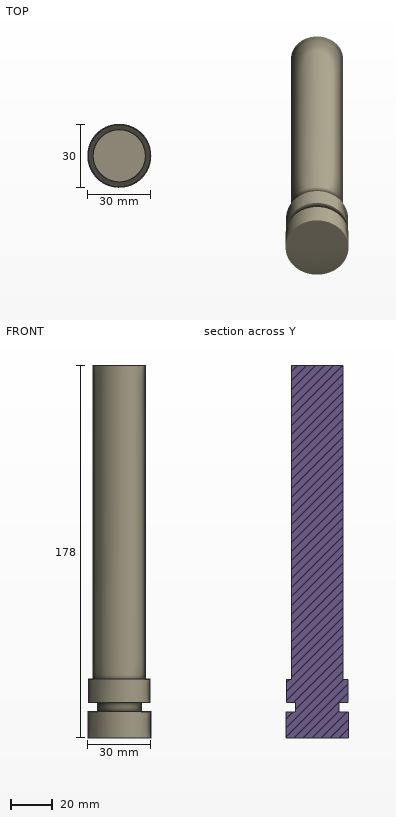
import cadquery as cq

total_length = 178.0
base_diameter = 30.0
base_height = 12.6
neck_diameter = 21.0
neck_height = 4.3
collar_diameter = 29.5
collar_height = 11.2
shaft_diameter = 25.0
shaft_length = total_length - base_height - neck_height - collar_height


def add_cylinder(body, diameter, height):
    """Stack a coaxial cylinder on the top face of the body."""
    return body.faces(">Z").workplane().circle(diameter / 2).extrude(height)


result = cq.Workplane("XY").circle(base_diameter / 2).extrude(base_height)
result = add_cylinder(result, neck_diameter, neck_height)
result = add_cylinder(result, collar_diameter, collar_height)
result = add_cylinder(result, shaft_diameter, shaft_length)